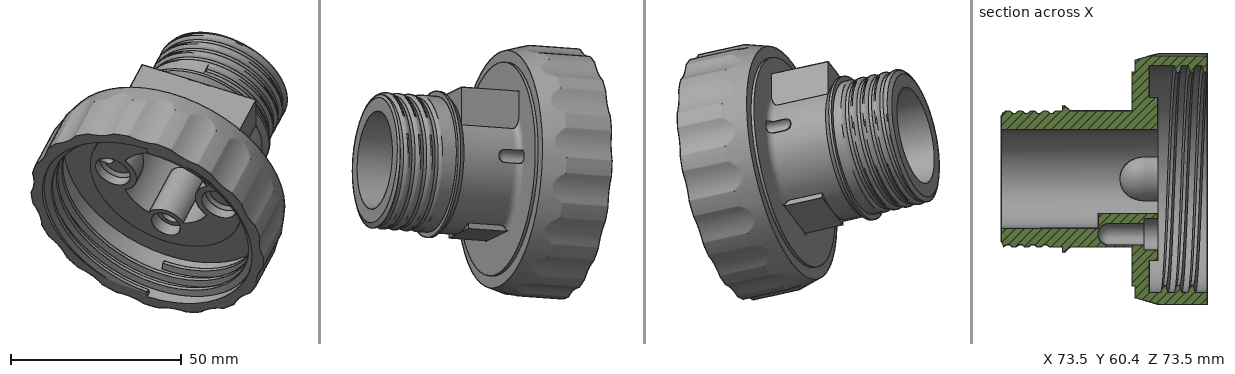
import cadquery as cq
import math

overall_length = 60.4

nut_radius = 36.82
nut_shoulder_radius = 34.9
nut_taper_start = 14.3
nut_back = 21.2
nut_bore_radius = 33.2
cavity_depth = 17.0
insert_face = 14.5
insert_radius = 23.95
flute_count = 17
flute_phase = 7.6
flute_bottom_radius = 35.9
flute_arc_radius = 15.0
flute_edge_round = 0.8

nut_thread_starts = 2
nut_thread_lead = 8.0
nut_thread_crest_radius = 31.2
nut_thread_root_width = 2.4
nut_thread_crest_width = 1.0
nut_thread_turns = 1.5
nut_thread_begin = 0.6

plate_radius = 31.4
plate_back = 22.1
body_radius = 20.0
body_fillet = 2.0
block_half_width = 18.0
pad_half_width = 8.0
pad_end = 34.1

collar_radius = 21.5
collar_start = 40.1
collar_rim_start = 41.7
collar_end = 42.5
spigot_tip_radius = 18.4
spigot_tip_chamfer = 0.8
thread_pitch = 3.63
thread_depth = 0.7
thread_groove_width = 3.2
thread_floor_width = 1.0
thread_flank_bulge = 0.25
thread_begin = 45.7

bore_radius = 14.4
side_boss_straight_end = 18.5
key_boss_end = 32.0
side_boss_offset = 16.8
side_boss_radius = 7.5
side_pocket_radius = 5.5
side_pocket_floor_radius = 4.5
side_pocket_depth = 4.0
side_chamfer = side_pocket_radius - side_pocket_floor_radius
vent_offset = 20.25
vent_radius = 2.0
vent_straight_end = 27.1
key_offset = 16.2
key_boss_radius = 6.1
key_pocket_radius = 4.55
key_pocket_depth = 4.0
key_hole_radius = 3.1
key_hole_end = 32.0

overlap = 0.3


def cylinder(radius, y_start, y_end, x=0.0, z=0.0):
    """Solid cylinder parallel to Y."""
    base = cq.Workplane("XZ", origin=(x, y_start, z))
    return base.circle(radius).extrude(-(y_end - y_start))


def box(half_width, y_start, y_end, z_low, z_high):
    """Rectangular block centred on X = 0."""
    size = (2 * half_width, y_end - y_start, z_high - z_low)
    return cq.Workplane("XY", origin=(0, y_start, z_low)).box(*size, centered=(True, False, False))


def revolved(points):
    """Solid of revolution about Y from (radius, y) points."""
    return cq.Workplane("XY").polyline(points).close().revolve(360, (0, 0, 0), (0, 1, 0))


def helical_sweep(profile, path_radius, lead, height, y_start, start_angle):
    """Right-handed sweep about Y of a (radius, axial offset) profile, angle measured from +Z towards +X."""
    path = cq.Wire.makeHelix(lead, height, path_radius)
    swept = profile.sweep(cq.Workplane(path), isFrenet=True)
    swept = swept.rotate((0, 0, 0), (1, 0, 0), -90)
    swept = swept.rotate((0, 0, 0), (0, 1, 0), start_angle - 90)
    return swept.translate((0, y_start, 0))


def make_nut():
    """Fluted nut with a tapered back and a plain cavity."""
    shell = revolved([
        (0, 0),
        (nut_radius, 0),
        (nut_radius, nut_taper_start),
        (nut_shoulder_radius, nut_back),
        (0, nut_back),
    ])
    flute_center = flute_bottom_radius + flute_arc_radius
    flutes = []
    for index in range(flute_count):
        angle = math.radians(flute_phase + index * 360 / flute_count)
        x = flute_center * math.cos(angle)
        z = flute_center * math.sin(angle)
        flutes.append(cylinder(flute_arc_radius, 0, nut_back, x, z).val())
    shell = shell.cut(cq.Workplane(cq.Compound.makeCompound(flutes)))
    flute_edges = []
    for edge in shell.edges().vals():
        is_arch = edge.geomType() == "BSPLINE"
        is_side = edge.geomType() == "LINE" and abs(edge.Length() - nut_taper_start) < overlap
        if is_arch or is_side:
            flute_edges.append(edge)
    shell = shell.newObject(flute_edges).fillet(flute_edge_round)
    return shell.cut(cylinder(nut_bore_radius, 0, cavity_depth))


def make_nut_threads():
    """Helical ridges on the cavity wall, evenly spaced around the axis."""
    half_root = nut_thread_root_width / 2
    half_crest = nut_thread_crest_width / 2
    profile = cq.Workplane("XZ").polyline([
        (nut_bore_radius + overlap, -half_root),
        (nut_thread_crest_radius, -half_crest),
        (nut_thread_crest_radius, half_crest),
        (nut_bore_radius + overlap, half_root),
    ]).close()
    height = nut_thread_turns * nut_thread_lead
    ridge = helical_sweep(profile, nut_bore_radius, nut_thread_lead, height, nut_thread_begin, 0)
    ridge = ridge.intersect(cylinder(nut_radius, 0, cavity_depth))
    step = 360 / nut_thread_starts
    return [ridge.rotate((0, 0, 0), (0, 1, 0), index * step) for index in range(nut_thread_starts)]


def make_body():
    """Back plate, body, collar and plain spigot, still without bore and thread."""
    tip_y = overall_length - spigot_tip_chamfer
    fillet_mid = body_fillet * (1 - math.sqrt(0.5))
    half = (
        cq.Workplane("XY")
        .moveTo(0, nut_back - overlap)
        .lineTo(plate_radius, nut_back - overlap)
        .lineTo(plate_radius, plate_back)
        .lineTo(body_radius + body_fillet, plate_back)
        .threePointArc(
            (body_radius + fillet_mid, plate_back + fillet_mid),
            (body_radius, plate_back + body_fillet),
        )
        .lineTo(body_radius, collar_start)
        .lineTo(collar_radius, collar_rim_start)
        .lineTo(collar_radius, collar_end)
        .lineTo(body_radius, collar_end)
        .lineTo(body_radius, tip_y)
        .lineTo(spigot_tip_radius, overall_length)
        .lineTo(0, overall_length)
        .close()
    )
    body = half.revolve(360, (0, 0, 0), (0, 1, 0))
    block = box(block_half_width, nut_back, collar_start, 0, body_radius)
    pad = box(pad_half_width, nut_back, pad_end, -body_radius, 0)
    body = body.union(block).union(pad)
    body = body.cut(box(plate_radius, plate_back, collar_start, body_radius, plate_radius))
    return body.cut(box(plate_radius, plate_back, collar_start, -plate_radius, -body_radius))


def cut_spigot_thread(body):
    """Cut the helical groove, turn by turn, leaving rounded ridges on the spigot."""
    half_mouth = thread_groove_width / 2
    half_floor = thread_floor_width / 2
    floor_radius = body_radius - thread_depth
    flank_radius = floor_radius + thread_depth / 2
    flank_offset = (half_mouth + half_floor) / 2 - thread_flank_bulge
    profile = (
        cq.Workplane("XZ")
        .moveTo(floor_radius, -half_floor)
        .lineTo(floor_radius, half_floor)
        .threePointArc((flank_radius, flank_offset), (body_radius, half_mouth))
        .lineTo(body_radius + overlap, half_mouth)
        .lineTo(body_radius + overlap, -half_mouth)
        .lineTo(body_radius, -half_mouth)
        .threePointArc((flank_radius, -flank_offset), (floor_radius, -half_floor))
        .close()
    )
    turn = helical_sweep(profile, floor_radius, thread_pitch, thread_pitch, thread_begin, 0)
    turn_count = math.ceil((overall_length + half_mouth - thread_begin) / thread_pitch)
    for index in range(turn_count):
        body = body.cut(turn.translate((0, index * thread_pitch, 0)), clean=False)
    return body


def round_ended_cylinder(radius, y_start, y_straight_end, x, z):
    """Cylinder parallel to Y with a hemispherical far end."""
    ball = cq.Workplane("XY", origin=(x, y_straight_end, z)).sphere(radius)
    return cylinder(radius, y_start, y_straight_end, x, z).union(ball)


def make_bore():
    """Central bore, interrupted by the three contact bosses near the insert face."""
    bore = cylinder(bore_radius, 0, overall_length)
    for side in (-1, 1):
        x = side * side_boss_offset
        bore = bore.cut(round_ended_cylinder(side_boss_radius, 0, side_boss_straight_end, x, 0))
    return bore.cut(cylinder(key_boss_radius, 0, key_boss_end, 0, -key_offset))


def make_side_contact(side):
    """Stepped pocket with an off-centre vent that breaks out through the body wall."""
    x = side * side_boss_offset
    vent_x = side * vent_offset
    floor_y = insert_face + side_pocket_depth
    pocket = cylinder(side_pocket_radius, insert_face, floor_y, x)
    pocket = pocket.faces(">Y").chamfer(side_chamfer)
    vent = round_ended_cylinder(vent_radius, insert_face, vent_straight_end, vent_x, 0)
    return pocket.union(vent)


def make_key_contact():
    """Stepped hole with a round end below the bore."""
    floor_y = insert_face + key_pocket_depth
    pocket = cylinder(key_pocket_radius, insert_face, floor_y, 0, -key_offset)
    straight_end = key_hole_end - key_hole_radius
    hole = round_ended_cylinder(key_hole_radius, insert_face, straight_end, 0, -key_offset)
    return pocket.union(hole)


part = make_nut().union(cut_spigot_thread(make_body()))
part = part.union(cylinder(insert_radius, insert_face, nut_back))
for ridge in make_nut_threads():
    part = part.union(ridge)
part = part.cut(make_bore())
for side in (-1, 1):
    part = part.cut(make_side_contact(side))
part = part.cut(make_key_contact())

result = part